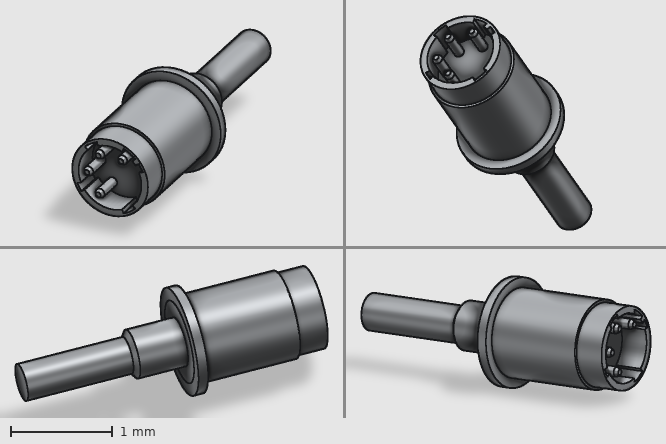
import cadquery as cq
import math

TOTAL_LENGTH = 3.06
CABLE_DIAMETER = 0.375
TAIL_DIAMETER = 0.5
INSERT_DIAMETER = 0.84
COLLAR_DIAMETER = 0.9
FLANGE_DIAMETER = 1.1

PIN_PROTRUSION = 0.012
NOSE_LENGTH = 0.3
BARREL_LENGTH = 0.998
FLANGE_THICKNESS = 0.1
TAIL_LENGTH = 0.5
TAIL_CHAMFER_LENGTH = 0.05

SOCKET_RADIUS = 0.35
SOCKET_DEPTH = 0.295
GROOVE_RADIUS = 0.392
GROOVE_ANGLES = [(22.5, 36), (45, 67.5), (112.5, 135), (202.5, 216), (292.5, 315)]

PIN_DIAMETER = 0.1
PIN_TAPER_DEPTH = 0.02
PIN_TAPER_LENGTH = 0.04
PIN_CIRCLE_RADIUS = 0.25
PIN_ANGLES = [60, 120, 180, 240]

nose_front = PIN_PROTRUSION
collar_front = nose_front + NOSE_LENGTH
flange_front = collar_front + BARREL_LENGTH
flange_rear = flange_front + FLANGE_THICKNESS
tail_chamfer_start = flange_rear + TAIL_LENGTH
tail_rear = tail_chamfer_start + TAIL_CHAMFER_LENGTH
socket_floor = nose_front + SOCKET_DEPTH


def cylinder(diameter, y_start, y_end, x=0, z=0):
    """Round bar parallel to Y between two stations."""
    plane = cq.Workplane("XZ", origin=(x, y_start, z))
    return plane.circle(diameter / 2).extrude(y_start - y_end)


def polar_point(radius, angle):
    """Point in the XZ plane at an angle in degrees from +X towards +Z."""
    turn = math.radians(angle)
    return radius * math.cos(turn), radius * math.sin(turn)


def make_collar():
    """Thin barrel with a rear flange, bored right through for the insert."""
    barrel = cylinder(COLLAR_DIAMETER, collar_front, flange_rear)
    flange = cylinder(FLANGE_DIAMETER, flange_front, flange_rear)
    bore = cylinder(INSERT_DIAMETER, collar_front, flange_rear)
    return barrel.union(flange).cut(bore)


def make_groove(start_angle, end_angle):
    """Sector that cuts one keying groove into the socket wall."""
    middle_angle = (start_angle + end_angle) / 2
    return (
        cq.Workplane("XZ", origin=(0, nose_front, 0))
        .lineTo(*polar_point(GROOVE_RADIUS, start_angle))
        .threePointArc(
            polar_point(GROOVE_RADIUS, middle_angle),
            polar_point(GROOVE_RADIUS, end_angle),
        )
        .close()
        .extrude(-SOCKET_DEPTH)
    )


def make_insert():
    """Contact carrier with a keyed front socket and a chamfered rear tail."""
    profile = [
        (0, nose_front),
        (INSERT_DIAMETER / 2, nose_front),
        (INSERT_DIAMETER / 2, flange_rear),
        (TAIL_DIAMETER / 2, flange_rear),
        (TAIL_DIAMETER / 2, tail_chamfer_start),
        (CABLE_DIAMETER / 2, tail_rear),
        (0, tail_rear),
    ]
    insert = cq.Workplane("XY").polyline(profile).close().revolve(360, (0, 0), (0, 1))
    insert = insert.cut(cylinder(2 * SOCKET_RADIUS, nose_front, socket_floor))
    for start_angle, end_angle in GROOVE_ANGLES:
        insert = insert.cut(make_groove(start_angle, end_angle))
    return insert


def make_cable():
    """Plain cable butting against the rear of the insert tail."""
    return cylinder(CABLE_DIAMETER, tail_rear, TOTAL_LENGTH)


def make_pin(angle):
    """Contact pin standing on the socket floor, with a long tapered tip."""
    x, z = polar_point(PIN_CIRCLE_RADIUS, angle)
    shank = cylinder(PIN_DIAMETER, 0, socket_floor, x, z)
    return shank.faces("<Y").chamfer(PIN_TAPER_LENGTH, PIN_TAPER_DEPTH)


collar = make_collar()
insert = make_insert()
cable = make_cable()
pins = [make_pin(angle) for angle in PIN_ANGLES]

result = cq.Compound.makeCompound(
    [collar.val(), insert.val(), cable.val(), *[pin.val() for pin in pins]]
)